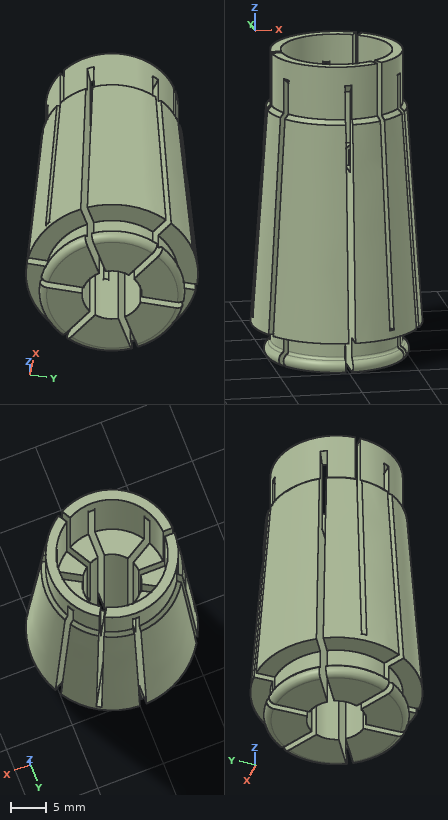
import cadquery as cq
import math

length = 45.1
cone_bottom = 5.05
cone_top = 36.7
floor_height = 29.1

neck_radius = 9.43
bead_outer_radius = 10.35
cone_top_radius = 10.05
cone_bottom_diameter = 24.5
cone_bottom_radius = cone_bottom_diameter / 2
bore_radius = 4.25
wide_bore_radius = 7.95
bead_round = 1.0
bead_fillet = 0.5
shoulder_height = cone_top + (cone_top_radius - neck_radius)

wide_slot_count = 6
wide_slot_first_angle = 30.0
wide_slot_width = 1.0
wide_slot_outer_end = 42.35
wide_slot_inner_end = 41.0

narrow_slot_count = 3
narrow_slot_first_angle = 60.0
narrow_slot_width = 0.75
narrow_slot_outer_end = 6.22
narrow_slot_inner_end = 9.45

full_turn = 360.0
clearance = 2.25
slot_reach = cone_bottom_radius + clearance


def turned_body():
    """Tapered sleeve with a rounded bead at its foot and a stepped bore."""
    bead_centre = bead_outer_radius - bead_round
    fillet_centre = neck_radius + bead_fillet

    centre_distance = bead_round + bead_fillet
    lean = math.asin((fillet_centre - bead_centre) / centre_distance)
    neck_bottom = bead_round + centre_distance * math.cos(lean)
    touch_radius = bead_centre + bead_round * math.sin(lean)
    touch_height = bead_round + bead_round * math.cos(lean)

    half_angle = (math.pi / 2 - lean) / 2
    fillet_middle = (
        fillet_centre - bead_fillet * math.cos(half_angle),
        neck_bottom - bead_fillet * math.sin(half_angle),
    )

    return (
        cq.Workplane("XZ")
        .moveTo(bore_radius, 0)
        .lineTo(bead_centre, 0)
        .threePointArc((bead_outer_radius, bead_round), (touch_radius, touch_height))
        .threePointArc(fillet_middle, (neck_radius, neck_bottom))
        .lineTo(neck_radius, cone_bottom)
        .lineTo(cone_bottom_radius, cone_bottom)
        .lineTo(cone_top_radius, cone_top)
        .lineTo(neck_radius, shoulder_height)
        .lineTo(neck_radius, length)
        .lineTo(wide_bore_radius, length)
        .lineTo(wide_bore_radius, floor_height)
        .lineTo(bore_radius, floor_height)
        .close()
        .revolve(full_turn, (0, 0, 0), (0, 1, 0))
    )


def wide_slot():
    """Radial cutter along +X for one slot that runs up from the bottom face."""
    return (
        cq.Workplane("XZ")
        .moveTo(0, -clearance)
        .lineTo(slot_reach, -clearance)
        .lineTo(slot_reach, wide_slot_outer_end)
        .lineTo(neck_radius, wide_slot_outer_end)
        .lineTo(wide_bore_radius, wide_slot_inner_end)
        .lineTo(0, wide_slot_inner_end)
        .close()
        .extrude(wide_slot_width / 2, both=True)
    )


def narrow_slot():
    """Radial cutter along +X for one slot that runs down from the top face."""
    run = cone_bottom_radius - bore_radius
    rise = narrow_slot_inner_end - narrow_slot_outer_end
    floor_radius = (run**2 + rise**2) / (2 * rise)
    half_run = run / 2
    mid_rise = floor_radius - math.sqrt(floor_radius**2 - half_run**2)
    return (
        cq.Workplane("XZ")
        .moveTo(0, length + clearance)
        .lineTo(0, narrow_slot_inner_end)
        .lineTo(bore_radius, narrow_slot_inner_end)
        .threePointArc(
            (bore_radius + half_run, narrow_slot_outer_end + mid_rise),
            (cone_bottom_radius, narrow_slot_outer_end),
        )
        .lineTo(slot_reach, narrow_slot_outer_end)
        .lineTo(slot_reach, length + clearance)
        .close()
        .extrude(narrow_slot_width / 2, both=True)
    )


def cut_around(body, cutter, count, first_angle):
    """Cut equally spaced copies of a radial cutter around the collet axis."""
    for index in range(count):
        angle = first_angle + index * full_turn / count
        body = body.cut(cutter.rotate((0, 0, 0), (0, 0, 1), angle))
    return body


result = turned_body()
result = cut_around(result, wide_slot(), wide_slot_count, wide_slot_first_angle)
result = cut_around(result, narrow_slot(), narrow_slot_count, narrow_slot_first_angle)